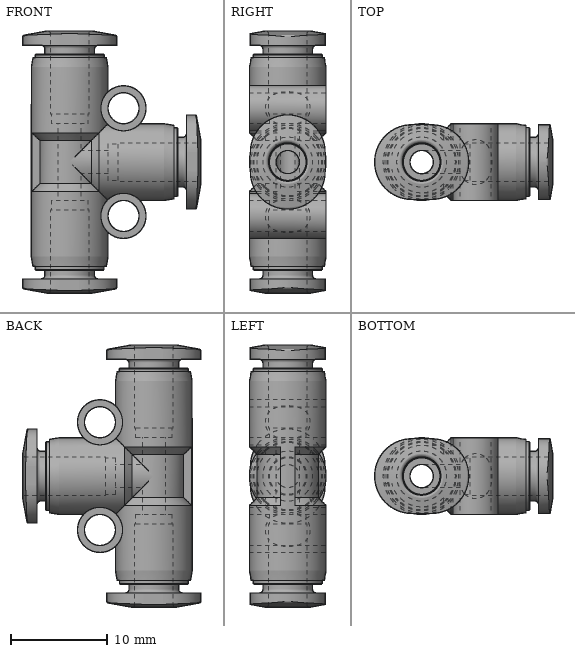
import cadquery as cq


arm_length = 13.65
body_radius = 4.0
waist_radius = 3.2
waist_end = 2.25
shoulder_start = waist_end + (body_radius - waist_radius)
taper_start = 9.85
taper_end = 10.85
taper_radius = 3.83
lip_radius = 3.6
lip_end = 11.25
lip_bevel = 0.1
rib_width = 1.5

neck_radius = 2.6
flare_size = 0.35
button_base = 12.13
button_rim = 13.18
rim_round = 0.2
button_end_radius = 3.9
button_flat_length = 2.0
button_reach = button_end_radius + button_flat_length / 2

tube_bore_radius = 2.0
mouth_radius = 2.3
seat_radius = 1.9
seat_start = 5.0
tube_stop = 4.0
passage_radius = 1.2

eye_outer_radius = 2.35
eye_hole_radius = 1.6
eye_offset = body_radius + eye_hole_radius
eye_length = 2 * body_radius


def cylinder_z(radius, start, end):
    return cq.Workplane("XY").workplane(offset=start).circle(radius).extrude(end - start)


def revolve_about_z(profile):
    return profile.close().revolve(360, (0, 0, 0), (0, 1, 0))


def make_sleeve():
    """Waist, shoulder, tapered barrel, bevelled lip and flared neck of one arm pointing along +Z."""
    flare_start = button_base - flare_size
    profile = (
        cq.Workplane("XZ")
        .lineTo(waist_radius, 0)
        .lineTo(waist_radius, waist_end)
        .lineTo(body_radius, shoulder_start)
        .lineTo(body_radius, taper_start)
        .lineTo(taper_radius, taper_end)
        .lineTo(lip_radius, taper_end)
        .lineTo(lip_radius, lip_end - lip_bevel)
        .lineTo(lip_radius - lip_bevel, lip_end)
        .lineTo(neck_radius, lip_end)
        .lineTo(neck_radius, flare_start)
        .radiusArc((neck_radius + flare_size, button_base), flare_size)
        .lineTo(0, button_base)
    )
    return revolve_about_z(profile)


def make_button():
    """Oblong button, flat on its Y sides, with a shallow conical outer face and a rounded rim at its ends."""
    oblong = (
        cq.Workplane("XY")
        .workplane(offset=button_base)
        .slot2D(2 * button_reach, 2 * button_end_radius)
        .extrude(arm_length - button_base)
    )
    cone_profile = (
        cq.Workplane("XZ")
        .moveTo(0, button_base)
        .lineTo(button_reach, button_base)
        .lineTo(button_reach, button_rim)
        .lineTo(mouth_radius, arm_length)
        .lineTo(0, arm_length)
    )
    cone = revolve_about_z(cone_profile)
    cone = cone.faces("%CYLINDER").edges(">Z").fillet(rim_round)
    return oblong.intersect(cone)


def make_arm():
    return make_sleeve().union(make_button())


def make_arm_passage():
    """Stepped bore of one arm pointing along +Z: passage, tube seat, tube bore and rounded mouth."""
    mouth_round = mouth_radius - tube_bore_radius
    profile = (
        cq.Workplane("XZ")
        .lineTo(passage_radius, 0)
        .lineTo(passage_radius, tube_stop)
        .lineTo(seat_radius, tube_stop)
        .lineTo(seat_radius, seat_start)
        .lineTo(tube_bore_radius, seat_start)
        .lineTo(tube_bore_radius, arm_length - mouth_round)
        .radiusArc((mouth_radius, arm_length), mouth_round)
        .lineTo(0, arm_length)
    )
    return revolve_about_z(profile)


def place_on_arms(shape):
    """Copies of a +Z shape on the upper run, the lower run and the +X branch."""
    return [shape.rotate((0, 0, 0), (0, 1, 0), angle) for angle in (0, 180, 90)]


def make_rib():
    """Rib bridging the waist on the -X side, flush with the barrels."""
    slab = cq.Workplane("XY").box(
        body_radius, rib_width, 2 * shoulder_start, centered=(False, True, True)
    )
    slab = slab.translate((-body_radius, 0, 0))
    return slab.intersect(cylinder_z(body_radius, -shoulder_start, shoulder_start))


def make_eye_cylinders(radius):
    centers = [(eye_offset, eye_offset), (eye_offset, -eye_offset)]
    return (
        cq.Workplane("XZ")
        .pushPoints(centers)
        .circle(radius)
        .extrude(eye_length / 2, both=True)
    )


def make_fitting():
    upper, lower, branch = place_on_arms(make_arm())
    fitting = upper.union(lower).union(branch)
    fitting = fitting.union(make_rib())
    fitting = fitting.union(make_eye_cylinders(eye_outer_radius))
    fitting = fitting.cut(make_eye_cylinders(eye_hole_radius))
    for passage in place_on_arms(make_arm_passage()):
        fitting = fitting.cut(passage)
    return fitting.clean()


result = make_fitting()